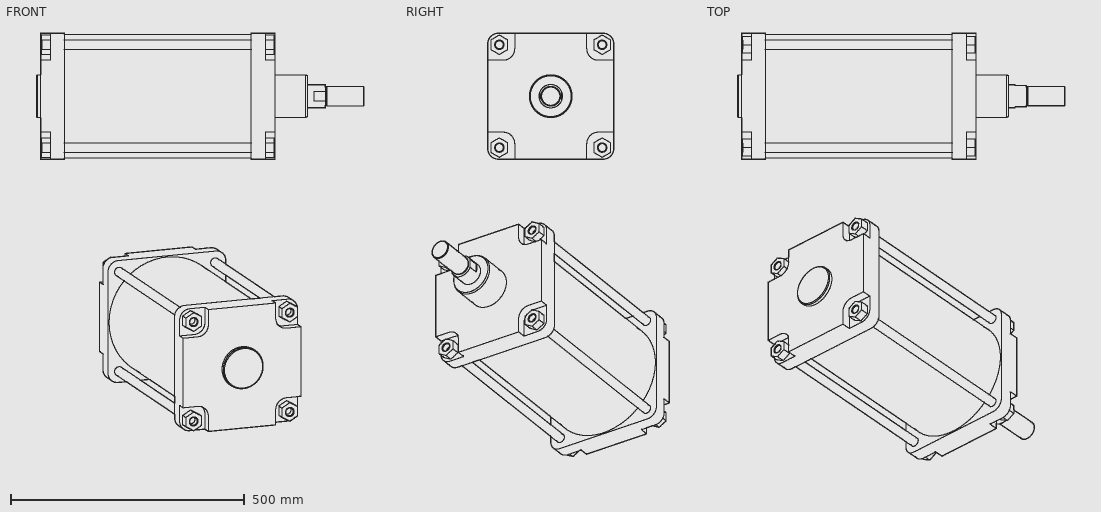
import cadquery as cq
import math


cap_width = 270
cap_thickness = 51
cap_corner_radius = 23
cap_face_span = 501.5
pocket_depth = 20.8
pocket_width = 58
pocket_corner_radius = 24.5

boss_diameter = 91.5
rear_boss_length = 9
rear_boss_chamfer = 2
collar_length = 69.5
collar_chamfer_length = 4
collar_chamfer_radial = 2

barrel_diameter = 265

rod_diameter = 50
rod_round_length = 14
rod_flats_length = 24
rod_across_flats = 46
thread_diameter = 42
thread_length = 83
thread_relief_diameter = 39
thread_relief_length = 2
thread_chamfer = 1.5

tie_rod_diameter = 20
tie_rod_offset = 110
nut_across_flats = 36
nut_height = 18.8
nut_bore_diameter = 17
nut_bore_depth = 15
nut_bore_chamfer = 1.5

barrel_start = cap_thickness
barrel_end = cap_face_span - cap_thickness
barrel_length = barrel_end - barrel_start
collar_end = cap_face_span + collar_length
flats_start = collar_end + rod_round_length
flats_end = flats_start + rod_flats_length

corners = [(sign_y * tie_rod_offset, sign_z * tie_rod_offset) for sign_y in (-1, 1) for sign_z in (-1, 1)]


def plane_at(x):
    """YZ workplane at the given X; local x is Y, local y is Z, extrusion runs to +X."""
    return cq.Workplane("YZ", origin=(x, 0, 0))


def rod_along_x(start, length, diameter):
    return plane_at(start).circle(diameter / 2).extrude(length)


def cap_plate(start, pocket_start):
    """Square plate with rounded corners, a nut pocket in each corner and tie rod holes."""
    plate = plane_at(start).rect(cap_width, cap_width).extrude(cap_thickness)
    plate = plate.edges("|X").fillet(cap_corner_radius)
    pocket_centers = [(math.copysign(cap_width / 2, y), math.copysign(cap_width / 2, z)) for y, z in corners]
    pockets = (
        plane_at(pocket_start)
        .pushPoints(pocket_centers)
        .rect(2 * pocket_width, 2 * pocket_width)
        .extrude(pocket_depth)
        .edges("|X")
        .fillet(pocket_corner_radius)
    )
    holes = plane_at(start).pushPoints(corners).circle(tie_rod_diameter / 2).extrude(cap_thickness)
    return plate.cut(pockets).cut(holes)


def make_rear_cap():
    boss = rod_along_x(-rear_boss_length, rear_boss_length, boss_diameter)
    boss = boss.faces("<X").chamfer(rear_boss_chamfer)
    return cap_plate(0, 0).union(boss)


def make_front_cap():
    """Front cap with its long collar and a bore that the piston rod passes through."""
    collar_radius = boss_diameter / 2
    collar = (
        cq.Workplane("XY")
        .moveTo(cap_face_span, 0)
        .lineTo(cap_face_span, collar_radius)
        .lineTo(collar_end - collar_chamfer_length, collar_radius)
        .lineTo(collar_end, collar_radius - collar_chamfer_radial)
        .lineTo(collar_end, 0)
        .close()
        .revolve(360, (0, 0, 0), (1, 0, 0))
    )
    bore = rod_along_x(barrel_end, collar_end - barrel_end, rod_diameter)
    return cap_plate(barrel_end, cap_face_span - pocket_depth).union(collar).cut(bore)


def make_barrel():
    return rod_along_x(barrel_start, barrel_length, barrel_diameter)


def make_piston_rod():
    """Rod with two wrench flats facing -Y and +Y, a thread relief and a threaded end."""
    shank = rod_along_x(barrel_end, flats_start - barrel_end, rod_diameter)
    flats = plane_at(flats_start).rect(rod_across_flats, rod_diameter).extrude(rod_flats_length)
    flats = flats.intersect(rod_along_x(flats_start, rod_flats_length, rod_diameter))
    relief = rod_along_x(flats_end, thread_relief_length, thread_relief_diameter)
    thread = rod_along_x(flats_end + thread_relief_length, thread_length - thread_relief_length, thread_diameter)
    thread = thread.faces("<X or >X").chamfer(thread_chamfer)
    return shank.union(flats).union(relief).union(thread)


def make_nut(start):
    """Hexagonal prism with flats facing -Y and +Y."""
    corner_diameter = nut_across_flats / math.cos(math.pi / 6)
    nut = plane_at(start).polygon(6, corner_diameter).extrude(nut_height)
    return nut.rotate((0, 0, 0), (1, 0, 0), 90)


def make_tie_rod(y, z):
    """Tie rod and its two nuts, with a blind chamfered bore in each end."""
    rear_seat = pocket_depth
    front_seat = cap_face_span - pocket_depth
    rear_end = rear_seat - nut_height
    front_end = front_seat + nut_height
    rod = rod_along_x(rear_seat, front_seat - rear_seat, tie_rod_diameter)
    rod = rod.union(make_nut(rear_end)).union(make_nut(front_seat))
    rod = rod.cut(rod_along_x(rear_end, nut_bore_depth, nut_bore_diameter))
    rod = rod.cut(rod_along_x(front_end - nut_bore_depth, nut_bore_depth, nut_bore_diameter))
    rod = rod.faces("<X or >X").edges("%CIRCLE").chamfer(nut_bore_chamfer)
    return rod.translate((0, y, z))


rear_cap = make_rear_cap()
front_cap = make_front_cap()
barrel = make_barrel()
piston_rod = make_piston_rod()
tie_rods = [make_tie_rod(y, z) for y, z in corners]

result = cq.Compound.makeCompound(
    [rear_cap.val(), front_cap.val(), barrel.val(), piston_rod.val(), *[rod.val() for rod in tie_rods]]
)